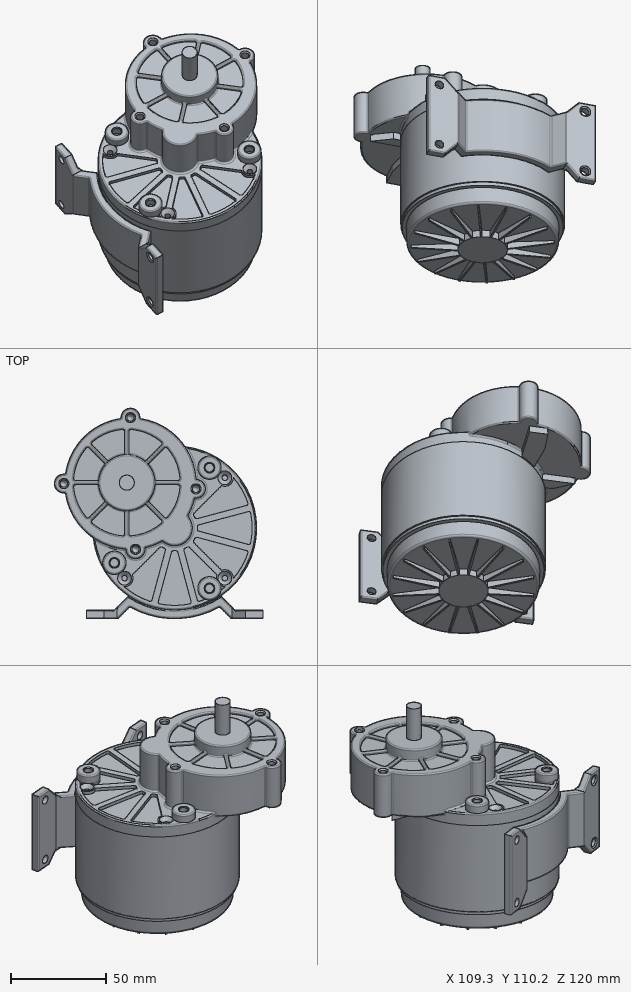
import cadquery as cq
import math


can_radius = 43.0
can_length = 50.6
ring_radius = 42.2
ring_height = 1.9
cap_top_radius = 40.1
cap_bottom_radius = 39.7
cap_height = 9.6
cap_fillet = 1.2
guard_height = 4.1
guard_rim_height = 1.4
guard_radius = 37.5
guard_hub_radius = 13.0
guard_rib_count = 16
guard_rib_width = 0.8

plate_height = 7.0
edge_fillet = 0.7
root_fillet = 1.0
gearbox_bottom = 4.8
gearbox_top = 30.0
gearbox_center = (-23.2, 23.3)
gearbox_radius = 34.4
hub_radius = 9.2
lug_radius = 4.9
lug_corner_fillet = 0.7
lug_hole_radius = 2.6
lug_bore_radius = 1.9
lug_hole_depth = 12.0
lug_hole_chamfer = lug_hole_radius - lug_bore_radius
lug_centers = [(-23.2, 57.8), (-58.1, 23.3), (11.2, 20.5), (-20.5, -11.2)]

shaft_center = (-25.1, 23.8)
collar_radius = 14.8
collar_top = 35.3
collar_root_fillet = 0.6
shaft_radius = 4.0
shaft_top = 53.8
window_radius = 28.0
window_depth = 1.4
window_count = 8
window_inner_radius = 12.0
window_rib_width = 2.2
window_corner_fillet = 1.2

pocket_angles = [30, 0, -30, -60, -90, -120]
pocket_pitch = 30
pocket_rib_width = 3.4
pocket_inner_radius = 11.9
pocket_outer_radius = 40.5
pocket_depth = 1.8
pocket_corner_fillet = 1.1

pad_circle_radius = 36.5
pad_angles = [60, 210, 300]
pad_radius = 6.1
pad_height = 4.5
pad_hole_radius = 2.3
pad_hole_chamfer = 0.5
screw_offset = 26.3
screw_centers = [(screw_offset, screw_offset), (-screw_offset, -screw_offset), (screw_offset, -screw_offset)]
screw_hole_radius = 1.4
screw_head_radius = 3.6
screw_land_radius = 4.4

block_bottom = 0.7
block_outlines = [
    [(-34.0, 55.8), (-34.7, 44.2), (-32.2, 28.9), (-24.0, 28.9), (-24.0, 55.8)],
    [(-55.5, 19.4), (-44.8, 13.2), (-36.0, 13.2), (-36.0, 19.4)],
]

bracket_middle = -18.8
bracket_thickness = 4.5
tab_height = 46.5
strap_height = 31.9
tab_half_span = 46.3
tab_top_half_span = 37.1
tab_foot_half_span = 30.1
leg_front_half_span = 23.5
leg_back_half_span = 24.1
bracket_hole_x = 40.4
bracket_hole_spacing = 36.6
bracket_hole_radius = 2.3
bracket_hole_chamfer = 0.7
bracket_fillet = 0.7

tolerance = 0.06


def disc(radius, center, bottom, top):
    """Upright cylinder between two heights."""
    return cq.Workplane("XY", origin=(*center, bottom)).circle(radius).extrude(top - bottom)


def cone(bottom_radius, top_radius, center, bottom, top):
    """Upright cone or cone frustum between two heights."""
    base = cq.Vector(*center, bottom)
    return cq.Workplane(cq.Solid.makeCone(bottom_radius, top_radius, top - bottom, pnt=base))


def edges_where(body, test):
    """Edges of a body whose middle point passes a test."""
    return body.newObject([edge for edge in body.edges().vals() if test(edge.positionAt(0.5))])


def gap(point, body):
    """Distance from a point to a body."""
    return cq.Vertex.makeVertex(*point.toTuple()).distance(body.val())


def shaft_distance(point):
    return math.hypot(point.x - shaft_center[0], point.y - shaft_center[1])


def polar(radius, degrees):
    angle = math.radians(degrees)
    return (radius * math.cos(angle), radius * math.sin(angle))


def sector_prism(pitch, rib_width, inner_radius, outer_radius, bottom, top, corner_fillet):
    """Ring sector centred on +X whose straight sides run parallel to the middle of the ribs beside it."""
    ring = cq.Workplane("XY", origin=(0, 0, bottom)).circle(outer_radius).circle(inner_radius).extrude(top - bottom)
    half_pitch = math.radians(pitch / 2)
    apex = rib_width / 2 / math.sin(half_pitch)
    reach = 2 * outer_radius
    wedge = (
        cq.Workplane("XY", origin=(0, 0, bottom))
        .polyline(
            [
                (apex, 0),
                (apex + reach, -reach * math.tan(half_pitch)),
                (apex + reach, reach * math.tan(half_pitch)),
            ]
        )
        .close()
        .extrude(top - bottom)
    )
    return ring.intersect(wedge).edges("|Z").fillet(corner_fillet)


def make_gearbox():
    """Eccentric round gearbox with a hub over the motor axis and four screw lugs."""
    box = disc(gearbox_radius, gearbox_center, gearbox_bottom, gearbox_top)
    box = box.union(disc(hub_radius, (0, 0), gearbox_bottom, gearbox_top))
    for center in lug_centers:
        box = box.union(disc(lug_radius, center, gearbox_bottom, gearbox_top))
    return box.edges("|Z").fillet(lug_corner_fillet).faces("<Z or >Z").edges().fillet(edge_fillet)


def make_gear_shell():
    """Gearbox standing on the motor plate, with a fillet along the line where they meet."""
    plate = disc(can_radius, (0, 0), 0, plate_height)
    plate = plate.faces(">Z").edges().fillet(edge_fillet)
    gearbox = make_gearbox()
    shell = plate.union(gearbox)
    return edges_where(
        shell,
        lambda point: max(gap(point, plate), gap(point, gearbox)) < tolerance,
    ).fillet(root_fillet)


def plate_pockets():
    """Fan of shallow pockets around the hub, kept clear of the pads and screw holes."""
    floor = plate_height - pocket_depth
    sector = sector_prism(
        pocket_pitch,
        pocket_rib_width,
        pocket_inner_radius,
        pocket_outer_radius,
        floor,
        plate_height,
        pocket_corner_fillet,
    )
    pockets = cq.Workplane("XY")
    for angle in pocket_angles:
        pockets = pockets.union(sector.rotate((0, 0, 0), (0, 0, 1), angle))
    for angle in pad_angles:
        pockets = pockets.cut(disc(pad_radius, polar(pad_circle_radius, angle), floor, plate_height))
    for center in screw_centers:
        pockets = pockets.cut(disc(screw_land_radius, center, floor, plate_height))
    return pockets


def screw_hole(center):
    """Through hole of the motor plate with a conical head seat."""
    seat_bottom = plate_height - (screw_head_radius - screw_hole_radius)
    return disc(screw_hole_radius, center, 0, plate_height).union(
        cone(screw_hole_radius, screw_head_radius, center, seat_bottom, plate_height)
    )


def mounting_pad(center):
    """Round raised pad reaching down through the rounded rim of the plate."""
    top = plate_height + pad_height
    return disc(pad_radius, center, plate_height - edge_fillet, top).faces(">Z").edges().fillet(edge_fillet)


def pad_hole(center):
    """Blind centre hole of a pad, widened by a small chamfer at the top."""
    top = plate_height + pad_height
    return disc(pad_hole_radius, center, plate_height, top).union(
        cone(pad_hole_radius, pad_hole_radius + pad_hole_chamfer, center, top - pad_hole_chamfer, top)
    )


def lug_hole(center):
    """Blind screw hole in a lug, chamfered at the top and ending in a drill point."""
    bottom = gearbox_top - lug_hole_depth
    return (
        disc(lug_bore_radius, center, bottom, gearbox_top)
        .union(cone(lug_bore_radius, lug_hole_radius, center, gearbox_top - lug_hole_chamfer, gearbox_top))
        .union(cone(0, lug_bore_radius, center, bottom - lug_bore_radius, bottom))
    )


def gearbox_windows():
    """Ring of shallow pockets between the ribs around the shaft collar."""
    window = sector_prism(
        360 / window_count,
        window_rib_width,
        window_inner_radius,
        window_radius,
        gearbox_top - window_depth,
        gearbox_top,
        window_corner_fillet,
    )
    windows = cq.Workplane("XY")
    for index in range(window_count):
        windows = windows.union(window.rotate((0, 0, 0), (0, 0, 1), (index + 0.5) * 360 / window_count))
    return windows.translate((*shaft_center, 0))


def add_windows_and_collar(housing):
    """Cut the windows with rounded upper edges, then stand the shaft collar on the ribs."""
    window_floor = gearbox_top - window_depth
    housing = housing.cut(gearbox_windows())
    housing = edges_where(
        housing,
        lambda point: abs(point.z - gearbox_top) < tolerance and shaft_distance(point) < window_radius + tolerance,
    ).fillet(edge_fillet)
    collar = disc(collar_radius, shaft_center, window_floor, collar_top)
    housing = housing.union(collar.faces(">Z").edges().fillet(edge_fillet))
    return edges_where(
        housing,
        lambda point: abs(shaft_distance(point) - collar_radius) < tolerance
        and window_floor - tolerance < point.z < gearbox_top + tolerance,
    ).fillet(collar_root_fillet)


def make_gear_housing():
    housing = make_gear_shell()
    for outline in block_outlines:
        height = gearbox_bottom + edge_fillet - block_bottom
        block = cq.Workplane("XY", origin=(0, 0, block_bottom)).polyline(outline).close().extrude(height)
        housing = housing.union(block)
    housing = housing.cut(plate_pockets())
    for center in screw_centers:
        housing = housing.cut(screw_hole(center))
    for angle in pad_angles:
        center = polar(pad_circle_radius, angle)
        housing = housing.union(mounting_pad(center)).cut(pad_hole(center))
    housing = add_windows_and_collar(housing)
    for center in lug_centers:
        housing = housing.cut(lug_hole(center))
    return housing


def make_shaft():
    return disc(shaft_radius, shaft_center, collar_top, shaft_top)


def make_motor():
    """Motor can with stepped end cap and a ribbed fan guard underneath."""
    ring_bottom = -can_length - ring_height
    cap_bottom = ring_bottom - cap_height
    guard_bottom = cap_bottom - guard_height
    profile = [
        (0, 0),
        (can_radius, 0),
        (can_radius, -can_length),
        (ring_radius, -can_length),
        (ring_radius, ring_bottom),
        (cap_top_radius, ring_bottom),
        (cap_bottom_radius, cap_bottom),
        (0, cap_bottom),
    ]
    motor = cq.Workplane("XZ").polyline(profile).close().revolve(360, (0, 0), (0, 1))
    motor = motor.faces("<Z").edges().fillet(cap_fillet)
    rib_profile = [
        (0, cap_bottom),
        (guard_radius, cap_bottom),
        (guard_radius, cap_bottom - guard_rim_height),
        (guard_hub_radius, guard_bottom),
        (0, guard_bottom),
    ]
    rib = cq.Workplane("XZ").polyline(rib_profile).close().extrude(guard_rib_width / 2, both=True)
    for index in range(guard_rib_count):
        motor = motor.union(rib.rotate((0, 0, 0), (0, 0, 1), index * 360 / guard_rib_count))
    return motor.union(disc(guard_hub_radius, (0, 0), guard_bottom, cap_bottom))


def bracket_hole(x, z, chamfer):
    """Through hole of a tab, chamfered at the outer face where asked."""
    front = -can_radius - bracket_thickness
    hole = cq.Workplane("XZ", origin=(x, -can_radius, z)).circle(bracket_hole_radius).extrude(bracket_thickness)
    if chamfer > 0:
        base = cq.Vector(x, front, z)
        inward = cq.Vector(0, 1, 0)
        seat = cq.Solid.makeCone(bracket_hole_radius + chamfer, bracket_hole_radius, chamfer, pnt=base, dir=inward)
        hole = hole.union(cq.Workplane(seat))
    return hole


def make_bracket():
    """Strap hugging the can, with a slanted leg and a chamfered screw tab on each side."""
    front = -can_radius - bracket_thickness
    back = -can_radius
    leg_front_y = -math.sqrt(front**2 - leg_front_half_span**2)
    leg_back_y = -math.sqrt(back**2 - leg_back_half_span**2)
    foot_front_x = leg_front_half_span + leg_front_y - front
    foot_back_x = leg_back_half_span + leg_back_y - back
    foot_middle = (foot_front_x + foot_back_x) / 2
    bottom = bracket_middle - tab_height / 2
    bracket = (
        cq.Workplane("XY", origin=(0, 0, bottom))
        .moveTo(-tab_half_span, front)
        .lineTo(-foot_front_x, front)
        .lineTo(-leg_front_half_span, leg_front_y)
        .threePointArc((0, front), (leg_front_half_span, leg_front_y))
        .lineTo(foot_front_x, front)
        .lineTo(tab_half_span, front)
        .lineTo(tab_half_span, back)
        .lineTo(foot_back_x, back)
        .lineTo(leg_back_half_span, leg_back_y)
        .threePointArc((0, back), (-leg_back_half_span, leg_back_y))
        .lineTo(-foot_back_x, back)
        .lineTo(-tab_half_span, back)
        .close()
        .extrude(tab_height)
    )
    for side in (1, -1):
        notch = (
            cq.Workplane("XZ", origin=(0, 0, bracket_middle))
            .polyline(
                [
                    (-tab_top_half_span, side * tab_height / 2),
                    (-tab_foot_half_span, side * strap_height / 2),
                    (tab_foot_half_span, side * strap_height / 2),
                    (tab_top_half_span, side * tab_height / 2),
                ]
            )
            .close()
            .extrude(2 * can_radius)
        )
        bracket = bracket.cut(notch)
    bends = cq.selectors.BoxSelector((-foot_middle, front - 1.2, bottom), (foot_middle, leg_front_y + 0.1, 0))
    bracket = bracket.edges("|Z").edges(bends).fillet(bracket_fillet)
    bracket = bracket.faces("<Y").edges().fillet(bracket_fillet)
    bracket = edges_where(
        bracket,
        lambda point: abs(point.y - back) < tolerance and abs(point.x) > foot_back_x + tolerance,
    ).fillet(bracket_fillet)
    bracket = edges_where(
        bracket,
        lambda point: abs(abs(point.z - bracket_middle) - strap_height / 2) < tolerance
        and abs(point.x) < foot_back_x
        and point.y > back - tolerance,
    ).fillet(bracket_fillet)
    for x in (-bracket_hole_x, bracket_hole_x):
        for side in (1, -1):
            chamfer = bracket_hole_chamfer if x > 0 else 0
            bracket = bracket.cut(bracket_hole(x, bracket_middle + side * bracket_hole_spacing / 2, chamfer))
    return bracket


gear_housing = make_gear_housing()
shaft = make_shaft()
motor = make_motor()
bracket = make_bracket()

result = cq.Compound.makeCompound([gear_housing.val(), shaft.val(), motor.val(), bracket.val()])